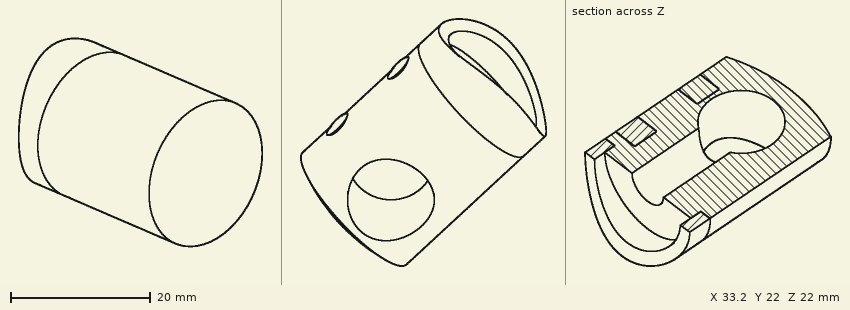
import cadquery as cq
import math

total_length = 33.18
outer_diameter = 22.0
outer_radius = outer_diameter / 2
dome_height = 2.2
dome_start_x = total_length - dome_height

ring_end_x = 7.17
ring_bore_diameter = 18.0
spigot_start_x = 5.1
saddle_radius = 21.2
saddle_axis_x = -math.sqrt(saddle_radius**2 - outer_radius**2)

axial_hole_diameter = 6.57
cross_bore_diameter = 12.48
cross_bore_x = 23.62
cross_bore_top_z = cross_bore_diameter / 2

screw_diameter = 4.25
screw_length = 3.98
screw_positions_x = [11.28, cross_bore_x]


def make_saddle_ring():
    """Tube whose -X end is cut by a cylinder lying along Y."""
    tube = (
        cq.Workplane("YZ")
        .circle(outer_radius)
        .circle(ring_bore_diameter / 2)
        .extrude(ring_end_x)
    )
    saddle_cutter = (
        cq.Workplane("XZ")
        .center(saddle_axis_x, 0)
        .circle(saddle_radius)
        .extrude(outer_radius, both=True)
    )
    return tube.cut(saddle_cutter)


def make_set_screw(x):
    """Plain cylinder along Y, running inward from the +Y side."""
    return (
        cq.Workplane("XZ", origin=(x, outer_radius, 0))
        .circle(screw_diameter / 2)
        .extrude(screw_length)
    )


def make_domed_blank():
    """Solid of revolution about X: a spigot for the ring, a barrel and a spherical end."""
    dome_radius = (outer_radius**2 + dome_height**2) / (2 * dome_height)
    dome_center_x = total_length - dome_radius
    half_dome_angle = math.asin(outer_radius / dome_radius) / 2
    dome_middle = (
        dome_center_x + dome_radius * math.cos(half_dome_angle),
        dome_radius * math.sin(half_dome_angle),
    )
    return (
        cq.Workplane("XY")
        .moveTo(spigot_start_x, 0)
        .lineTo(spigot_start_x, ring_bore_diameter / 2)
        .lineTo(ring_end_x, ring_bore_diameter / 2)
        .lineTo(ring_end_x, outer_radius)
        .lineTo(dome_start_x, outer_radius)
        .threePointArc(dome_middle, (total_length, 0))
        .close()
        .revolve(360, (0, 0, 0), (1, 0, 0))
    )


def make_holder(screws):
    """Domed, spigoted barrel with an axial hole, a blind bore from below and screw seats."""
    axial_hole = (
        cq.Workplane("YZ", origin=(spigot_start_x, 0, 0))
        .circle(axial_hole_diameter / 2)
        .extrude(cross_bore_x - spigot_start_x)
    )
    cross_bore = (
        cq.Workplane("XY", origin=(cross_bore_x, 0, -outer_radius))
        .circle(cross_bore_diameter / 2)
        .extrude(outer_radius + cross_bore_top_z)
    )
    holder = make_domed_blank().cut(axial_hole).cut(cross_bore)
    for screw in screws:
        holder = holder.cut(screw)
    return holder


saddle_ring = make_saddle_ring()
set_screws = [make_set_screw(x) for x in screw_positions_x]
holder = make_holder(set_screws)

result = cq.Compound.makeCompound(
    [saddle_ring.val(), holder.val(), *[screw.val() for screw in set_screws]]
)